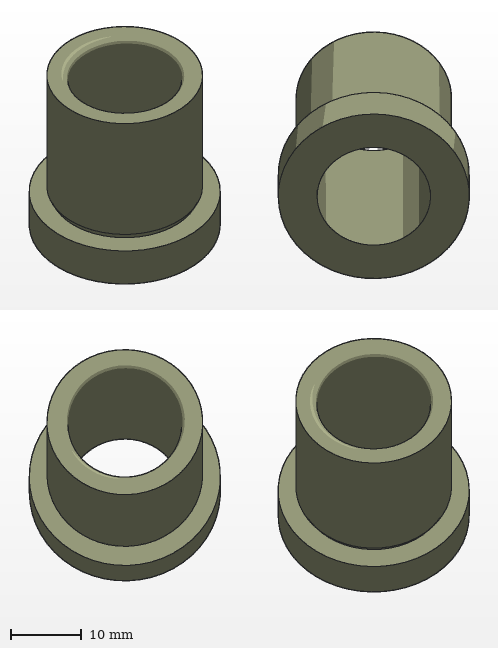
import cadquery as cq

total_height = 27.0
flange_diameter = 27.0
flange_height = 6.0
body_diameter = 22.0
bore_diameter = 16.0
relief_diameter = 21.0
relief_width = 1.0
bore_lip_radius = 1.0

body_bottom = flange_height + relief_width


def cylinder(diameter, bottom, top):
    """Solid cylinder on the Z axis between two heights."""
    return cq.Workplane("XY").workplane(offset=bottom).circle(diameter / 2).extrude(top - bottom)


flange = cylinder(flange_diameter, 0, flange_height)
relief = cylinder(relief_diameter, flange_height, body_bottom)
body = cylinder(body_diameter, body_bottom, total_height)
bushing = flange.union(relief).union(body)

bushing = bushing.cut(cylinder(bore_diameter, 0, total_height))
bore_mouth = cq.selectors.RadiusNthSelector(0)
result = bushing.faces(">Z").edges(bore_mouth).fillet(bore_lip_radius)